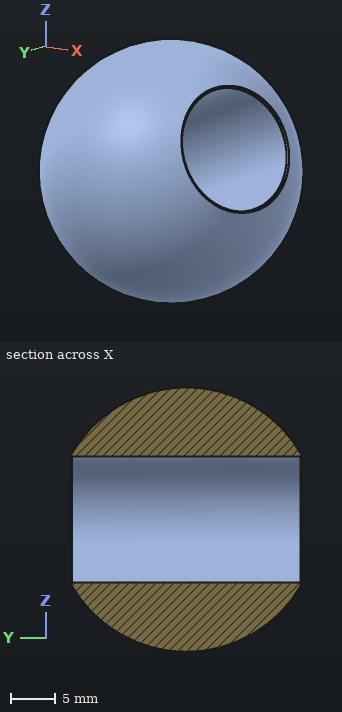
import cadquery as cq
import math

ball_diameter = 30.0
width_across_mouths = 26.2
bore_diameter = 14.22

ball_radius = ball_diameter / 2
bore_radius = bore_diameter / 2
half_width = width_across_mouths / 2

mouth_radius = math.sqrt(ball_radius**2 - half_width**2)
chamfer_leg = mouth_radius - bore_radius
half_bore_wall = half_width - chamfer_leg

half_section = (
    cq.Workplane("XY")
    .moveTo(bore_radius, -half_bore_wall)
    .lineTo(mouth_radius, -half_width)
    .threePointArc((ball_radius, 0), (mouth_radius, half_width))
    .lineTo(bore_radius, half_bore_wall)
    .close()
)

result = half_section.revolve(360, (0, 0, 0), (0, 1, 0))